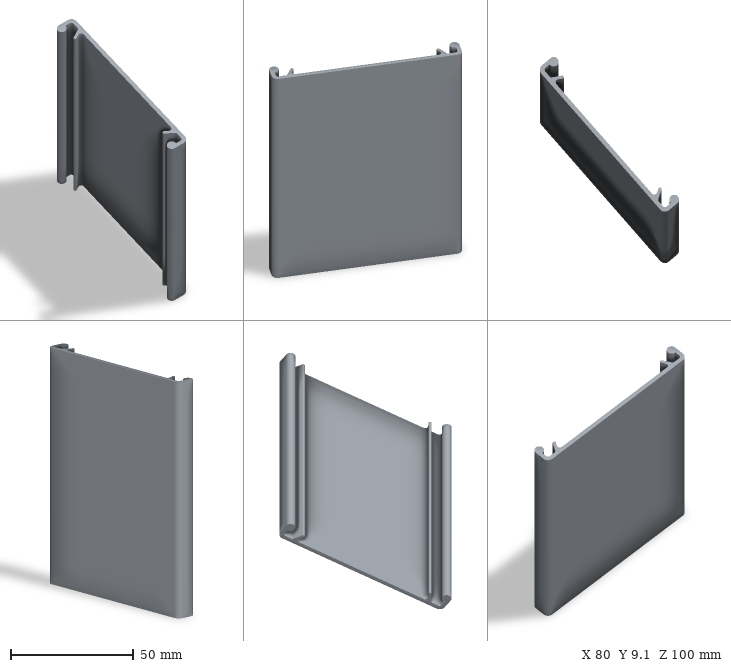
import cadquery as cq
import math

width = 80.0
depth = 9.1
length = 100.0

thickness = 1.8
outer_radius = 2.5
inner_radius = 1.0

bead_radius = 2.0

lip_angle = 30.0
lip_thickness = 1.3
lip_tip_x = 30.8
lip_tip_depth = 5.6
lip_outer_fillet = 1.0
lip_inner_fillet = 1.2

half_width = width / 2
back_y = depth / 2
plate_inner_y = back_y - thickness
edge_tolerance = 0.01


def make_channel():
    """Plate with two side walls, rounded inside and outside at the corners."""
    wall_end_y = -back_y + bead_radius
    wall_depth = back_y - wall_end_y
    outer = (
        cq.Workplane("XY")
        .rect(width, 2 * wall_depth)
        .extrude(length)
        .edges("|Z")
        .fillet(outer_radius)
    )
    inner = (
        cq.Workplane("XY")
        .rect(width - 2 * thickness, 2 * (wall_depth - thickness))
        .extrude(length)
        .edges("|Z")
        .fillet(inner_radius)
    )
    lower_half = cq.Workplane("XY").center(0, -wall_depth / 2).rect(width, wall_depth).extrude(length)
    return outer.cut(inner).cut(lower_half).translate((0, wall_end_y, 0))


def make_bead(side):
    """Bead tangent to the outside of the side wall."""
    center_x = side * (half_width - bead_radius)
    return cq.Workplane("XY").center(center_x, -back_y + bead_radius).circle(bead_radius).extrude(length)


def lip_face_point(offset, y):
    """Point at height y on a lip face offset outward from the lip centre line."""
    angle = math.radians(lip_angle)
    tip_y = back_y - lip_tip_depth
    return lip_tip_x + (y - tip_y) * math.tan(angle) + offset / math.cos(angle), y


def make_lip(side):
    """Slanted lip with a rounded tip, rooted inside the plate."""
    angle = math.radians(lip_angle)
    radius = lip_thickness / 2
    tip_y = back_y - lip_tip_depth
    across = (radius * math.cos(angle), -radius * math.sin(angle))
    along = (-radius * math.sin(angle), -radius * math.cos(angle))
    root_y = back_y - thickness / 2
    outer_root = lip_face_point(radius, root_y)
    inner_root = lip_face_point(-radius, root_y)
    outer_end = (lip_tip_x + across[0], tip_y + across[1])
    inner_end = (lip_tip_x - across[0], tip_y - across[1])
    tip = (lip_tip_x + along[0], tip_y + along[1])
    lip = (
        cq.Workplane("XY")
        .moveTo(*outer_root)
        .lineTo(*outer_end)
        .threePointArc(tip, inner_end)
        .lineTo(*inner_root)
        .close()
        .extrude(length)
    )
    return lip if side > 0 else lip.mirror("YZ")


def fillet_lip_root(body, side, offset, radius):
    """Round the corner where one lip face meets the plate."""
    x, y = lip_face_point(offset, plate_inner_y)
    corner = cq.selectors.BoxSelector(
        (side * x - edge_tolerance, y - edge_tolerance, 0),
        (side * x + edge_tolerance, y + edge_tolerance, length),
    )
    return body.edges("|Z").edges(corner).fillet(radius)


result = make_channel()
for side in (-1, 1):
    result = result.union(make_bead(side)).union(make_lip(side))
for side in (-1, 1):
    result = fillet_lip_root(result, side, lip_thickness / 2, lip_outer_fillet)
    result = fillet_lip_root(result, side, -lip_thickness / 2, lip_inner_fillet)
result = result.translate((0, 0, -length / 2))